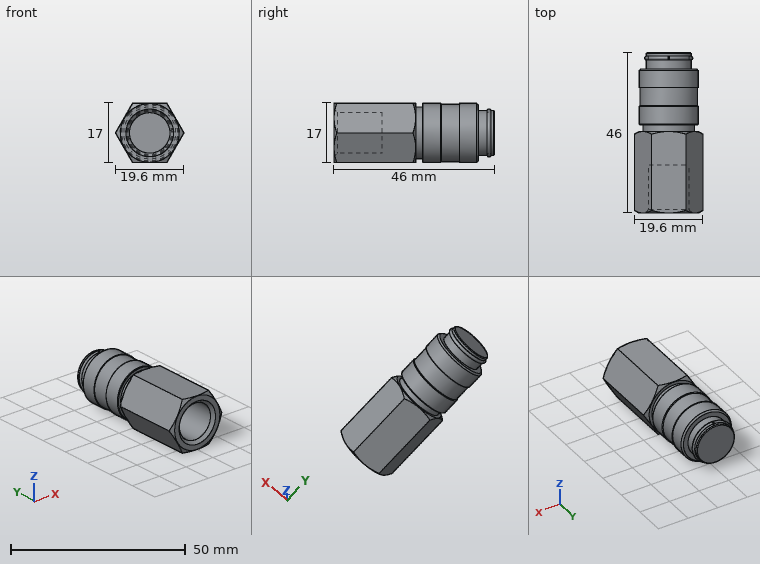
import cadquery as cq
import math

LENGTH = 46.0

HEX_FLATS = 17.0
HEX_CORNERS = HEX_FLATS / math.cos(math.radians(30))
HEX_LENGTH = 23.45
HEX_FACE_RADIUS = 8.4
HEX_CHAMFER_ANGLE = 30.0

BORE_RADIUS = 5.8
BORE_DEPTH = 13.8
MOUTH_RADIUS = 6.8
MOUTH_DEPTH = MOUTH_RADIUS - BORE_RADIUS

NECK_RADIUS = 7.45
SLEEVE_START = 25.3
SLEEVE_END = 41.35
LAND_RADIUS = HEX_FLATS / 2
LAND_CHAMFER = 0.25
WAIST_RADIUS = LAND_RADIUS - LAND_CHAMFER
WAIST_START = 30.8
WAIST_END = 35.95
SLEEVE_END_CHAMFER = 0.5

NOSE_RADIUS = 6.5
NOSE_CHAMFER = 0.28
RING_CENTER = 44.45
RING_WIRE_RADIUS = 0.55
RING_OUTER_RADIUS = 6.9
RING_PITCH_RADIUS = RING_OUTER_RADIUS - RING_WIRE_RADIUS
RING_GAP = 0.3
RING_GAP_ANGLE = math.degrees(RING_GAP / RING_PITCH_RADIUS)


def revolve_profile(points):
    """Revolve a closed (radius, Y) outline about the Y axis."""
    return cq.Workplane("XY").polyline(points).close().revolve(360, (0, 0, 0), (0, 1, 0))


def make_hex():
    """Hexagonal bar along Y with both ends chamfered by cones."""
    prism = cq.Workplane("XZ").polygon(6, HEX_CORNERS).extrude(-HEX_LENGTH)
    corner_radius = HEX_CORNERS / 2
    chamfer_length = (corner_radius - HEX_FACE_RADIUS) * math.tan(math.radians(HEX_CHAMFER_ANGLE))
    envelope = revolve_profile([
        (0, 0),
        (HEX_FACE_RADIUS, 0),
        (corner_radius, chamfer_length),
        (corner_radius, HEX_LENGTH - chamfer_length),
        (HEX_FACE_RADIUS, HEX_LENGTH),
        (0, HEX_LENGTH),
    ])
    return prism.intersect(envelope)


def make_turned_end():
    """Neck, sleeve with two lands and a waist, and nose."""
    return revolve_profile([
        (0, HEX_LENGTH),
        (NECK_RADIUS, HEX_LENGTH),
        (NECK_RADIUS, SLEEVE_START),
        (LAND_RADIUS - LAND_CHAMFER, SLEEVE_START),
        (LAND_RADIUS, SLEEVE_START + LAND_CHAMFER),
        (LAND_RADIUS, WAIST_START - LAND_CHAMFER),
        (WAIST_RADIUS, WAIST_START),
        (WAIST_RADIUS, WAIST_END),
        (LAND_RADIUS, WAIST_END),
        (LAND_RADIUS, SLEEVE_END - SLEEVE_END_CHAMFER),
        (LAND_RADIUS - SLEEVE_END_CHAMFER, SLEEVE_END),
        (NOSE_RADIUS, SLEEVE_END),
        (NOSE_RADIUS, LENGTH - NOSE_CHAMFER),
        (NOSE_RADIUS - NOSE_CHAMFER, LENGTH),
        (0, LENGTH),
    ])


def make_bore():
    """Cutter for the blind bore and its conical mouth."""
    return revolve_profile([
        (0, 0),
        (MOUTH_RADIUS, 0),
        (BORE_RADIUS, MOUTH_DEPTH),
        (BORE_RADIUS, BORE_DEPTH),
        (0, BORE_DEPTH),
    ])


def make_ring(sweep_angle):
    """Round-wire ring swept about Y, with any opening centred on +Z."""
    ring = (
        cq.Workplane("XY")
        .center(RING_PITCH_RADIUS, RING_CENTER)
        .circle(RING_WIRE_RADIUS)
        .revolve(sweep_angle, (-RING_PITCH_RADIUS, 0, 0), (-RING_PITCH_RADIUS, 1, 0))
    )
    opening_half_angle = (360 - sweep_angle) / 2
    return ring.rotate((0, 0, 0), (0, 1, 0), opening_half_angle - 90)


def make_body():
    """Coupling body with the ring groove cut all the way round."""
    ring_groove = make_ring(360)
    return make_hex().union(make_turned_end()).cut(make_bore()).cut(ring_groove)


body = make_body()
snap_ring = make_ring(360 - RING_GAP_ANGLE)

result = cq.Compound.makeCompound([body.solids().val(), snap_ring.val()])